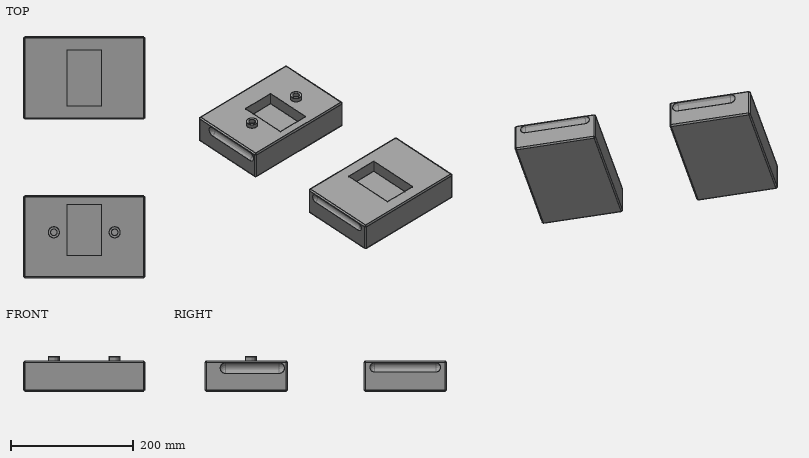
import cadquery as cq
import math

total_length = 395.0
block_width = 198.0
block_depth = 135.0
block_height = 49.8
edge_chamfer = 2.5
block_center_y = (total_length - block_depth) / 2

pocket_width = 57.0
pocket_depth = 21.0
plain_pocket_length = 92.0
peg_pocket_length = 83.0
peg_pocket_offset = 11.0

groove_axis_outset = 5.0
groove_top_margin = 3.0
plain_capsule_diameter = 18.0
plain_capsule_straight_length = 100.5
peg_capsule_diameter = 20.0
peg_capsule_straight_length = 87.5
peg_groove_offset = 10.0

peg_diameter = 18.0
peg_bore_diameter = 10.5
peg_height = 7.0
peg_spacing = 99.5
peg_offset = 7.5


def chamfered_block():
    """Block centred on the Z axis, resting on Z = 0."""
    block = cq.Workplane("XY").box(block_width, block_depth, block_height, centered=(True, True, False))
    return block.edges().chamfer(edge_chamfer)


def pocket(length, offset):
    """Volume of a rectangular pocket open at the block top."""
    return (
        cq.Workplane("XY", origin=(0, offset, block_height - pocket_depth))
        .box(pocket_width, length, pocket_depth, centered=(True, True, False))
    )


def groove(side, straight_length, diameter, offset):
    """Capsule along Y, made by revolving its half outline about an axis outside the side face."""
    radius = diameter / 2
    half_straight = straight_length / 2
    half_opening = math.sqrt(radius**2 - groove_axis_outset**2)
    axis_x = side * (block_width / 2 + groove_axis_outset)
    axis_z = block_height - groove_top_margin - half_opening
    arc_step = radius * math.sqrt(0.5)
    return (
        cq.Workplane("XY", origin=(axis_x, offset, axis_z))
        .moveTo(0, -half_straight - radius)
        .threePointArc((arc_step, -half_straight - arc_step), (radius, -half_straight))
        .lineTo(radius, half_straight)
        .threePointArc((arc_step, half_straight + arc_step), (0, half_straight + radius))
        .close()
        .revolve(360, (0, 0, 0), (0, 1, 0))
    )


def cut_grooves(block, straight_length, diameter, offset):
    """Cut the same groove into both X sides."""
    for side in (-1, 1):
        block = block.cut(groove(side, straight_length, diameter, offset))
    return block


def add_pegs(block):
    """Raise two hollow pegs from the block top; each bore ends level with that top."""
    pegs = (
        cq.Workplane("XY", origin=(0, peg_offset, block_height))
        .pushPoints([(-peg_spacing / 2, 0), (peg_spacing / 2, 0)])
        .circle(peg_diameter / 2)
        .circle(peg_bore_diameter / 2)
        .extrude(peg_height)
    )
    return block.union(pegs)


def make_plain_block():
    block = chamfered_block().cut(pocket(plain_pocket_length, 0))
    block = cut_grooves(block, plain_capsule_straight_length, plain_capsule_diameter, 0)
    return block.translate((0, block_center_y, 0))


def make_peg_block():
    block = chamfered_block().cut(pocket(peg_pocket_length, peg_pocket_offset))
    block = cut_grooves(block, peg_capsule_straight_length, peg_capsule_diameter, peg_groove_offset)
    block = add_pegs(block)
    return block.translate((0, -block_center_y, 0))


plain_block = make_plain_block()
peg_block = make_peg_block()

result = cq.Compound.makeCompound([plain_block.val(), peg_block.val()])